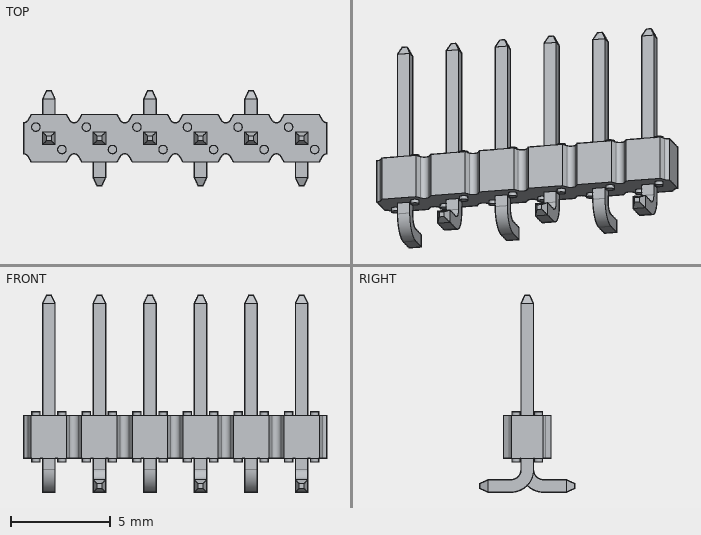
import cadquery as cq
import math


pin_count = 6
body_length = 15.24
body_width = 2.4
body_bottom = 1.7
body_height = 2.16
pitch = body_length / pin_count

notch_width = 0.76
notch_depth = 0.41
notch_radius = 0.26

peg_diameter = 0.43
peg_height = 0.18
peg_offset_x = 0.65
peg_offset_y = 0.56

pin_size = 0.64
pin_top = 9.9
foot_reach = 2.4
bend_inner_radius = 0.5
pin_tip_length = 0.41
foot_tip_length = 0.43
tip_size = 0.25

pin_positions = [(i - (pin_count - 1) / 2) * pitch for i in range(pin_count)]
notch_positions = [(i - pin_count / 2) * pitch for i in range(pin_count + 1)]


def make_notch(x, side):
    """Notch cutter at x, open towards the +Y (side = 1) or -Y (side = -1) face."""
    half_width = notch_width / 2
    face_y = body_width / 2
    bottom_y = face_y - notch_depth
    centre_y = bottom_y + notch_radius

    corner_rise = face_y - centre_y
    corner_distance = math.hypot(half_width, corner_rise)
    touch_angle = math.atan2(corner_rise, half_width) - math.acos(notch_radius / corner_distance)
    touch_x = notch_radius * math.cos(touch_angle)
    touch_y = centre_y + notch_radius * math.sin(touch_angle)

    return (
        cq.Workplane("XY", origin=(x, 0, body_bottom))
        .moveTo(-half_width, side * face_y)
        .lineTo(-touch_x, side * touch_y)
        .threePointArc((0, side * bottom_y), (touch_x, side * touch_y))
        .lineTo(half_width, side * face_y)
        .close()
        .extrude(body_height)
    )


def make_body():
    """Insulator block, notched along both long faces and at its four corners."""
    body = (
        cq.Workplane("XY", origin=(0, 0, body_bottom))
        .rect(body_length, body_width)
        .extrude(body_height)
    )
    for x in notch_positions:
        for side in (1, -1):
            body = body.cut(make_notch(x, side))
    return body


def make_pegs(x):
    """Two diagonally placed pegs that stand out of the top and the underside."""
    return (
        cq.Workplane("XY", origin=(x, 0, body_bottom - peg_height))
        .pushPoints([(-peg_offset_x, peg_offset_y), (peg_offset_x, -peg_offset_y)])
        .circle(peg_diameter / 2)
        .extrude(body_height + 2 * peg_height)
    )


def make_tip(base_plane, length):
    """Blunt pyramid that ends a pin or a foot."""
    return (
        cq.Workplane(base_plane)
        .rect(pin_size, pin_size)
        .workplane(offset=length)
        .rect(tip_size, tip_size)
        .loft(ruled=True)
    )


def make_pin(x, side):
    """Upright pin at x whose foot points along +Y (side = 1) or -Y (side = -1)."""
    half = pin_size / 2
    bend_outer_radius = bend_inner_radius + pin_size
    bend_y = half + bend_inner_radius
    foot_end = foot_reach - foot_tip_length
    shaft_top = pin_top - pin_tip_length
    diagonal = math.sqrt(0.5)
    inner_middle = (
        side * (bend_y - bend_inner_radius * diagonal),
        bend_outer_radius - bend_inner_radius * diagonal,
    )
    outer_middle = (
        side * (bend_y - bend_outer_radius * diagonal),
        bend_outer_radius * (1 - diagonal),
    )

    bent_bar = (
        cq.Workplane("YZ", origin=(x, 0, 0))
        .moveTo(side * half, shaft_top)
        .lineTo(side * half, bend_outer_radius)
        .threePointArc(inner_middle, (side * bend_y, pin_size))
        .lineTo(side * foot_end, pin_size)
        .lineTo(side * foot_end, 0)
        .lineTo(side * bend_y, 0)
        .threePointArc(outer_middle, (-side * half, bend_outer_radius))
        .lineTo(-side * half, shaft_top)
        .close()
        .extrude(half, both=True)
    )
    pin_tip_base = cq.Plane(origin=(x, 0, shaft_top), xDir=(1, 0, 0), normal=(0, 0, 1))
    foot_tip_base = cq.Plane(origin=(x, side * foot_end, half), xDir=(1, 0, 0), normal=(0, side, 0))
    return (
        bent_bar
        .union(make_tip(pin_tip_base, pin_tip_length))
        .union(make_tip(foot_tip_base, foot_tip_length))
    )


result = make_body()
for index, pin_x in enumerate(pin_positions):
    foot_side = 1 if index % 2 == 0 else -1
    result = result.union(make_pegs(pin_x)).union(make_pin(pin_x, foot_side))